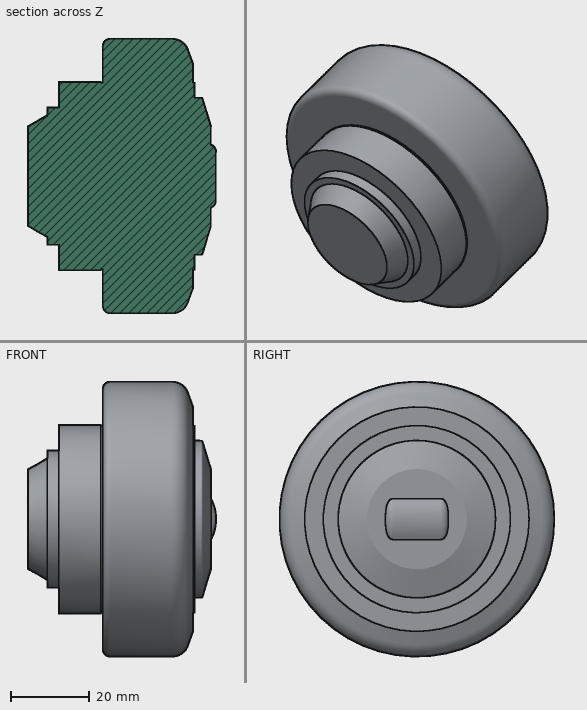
import cadquery as cq
import math

stub_end = 5.0
collar_end = 7.9
hub_end = 18.65
tyre_start = 19.05
tyre_crown_end = 36.7
tyre_end = 42.1
washer_end = 42.5
cap_rim_end = 44.45
cap_end = 46.7
roller_tip = 48.0

stub_tip_radius = 12.7
collar_radius = 17.5
hub_radius = 24.05
washer_radius = 23.8
tyre_radius = 35.05
cap_radius = 20.05
cap_face_radius = 12.75

stub_taper = math.radians(30)
tyre_back_fillet = 1.95
tyre_shoulder_radius = 4.35
cap_rim_fillet = 0.5
shoulder_angle = math.radians(70)

roller_radius = 10.8
roller_length = 16.4
roller_fillet = 2.1


def disc(start, end, radius):
    """Cylinder on the X axis between two axial stations."""
    return cq.Workplane("YZ", origin=(start, 0, 0)).circle(radius).extrude(end - start)


def revolve_about_x(profile):
    return profile.close().revolve(360, (0, 0, 0), (1, 0, 0))


def tapered_stub():
    base_radius = stub_tip_radius + stub_end * math.tan(stub_taper)
    profile = (
        cq.Workplane("XY")
        .lineTo(0, stub_tip_radius)
        .lineTo(stub_end, base_radius)
        .lineTo(stub_end, 0)
    )
    return revolve_about_x(profile)


def tyre():
    """Wheel with a small back fillet and a shoulder arc that runs into a tangent cone."""
    def shoulder_point(angle):
        return (
            tyre_crown_end + tyre_shoulder_radius * math.sin(angle),
            tyre_radius - tyre_shoulder_radius * (1 - math.cos(angle)),
        )

    arc_end = shoulder_point(shoulder_angle)
    cone_end_radius = arc_end[1] - (tyre_end - arc_end[0]) * math.tan(shoulder_angle)
    profile = (
        cq.Workplane("XY")
        .moveTo(tyre_start, 0)
        .lineTo(tyre_start, tyre_radius - tyre_back_fillet)
        .radiusArc((tyre_start + tyre_back_fillet, tyre_radius), tyre_back_fillet)
        .lineTo(tyre_crown_end, tyre_radius)
        .threePointArc(shoulder_point(shoulder_angle / 2), arc_end)
        .lineTo(tyre_end, cone_end_radius)
        .lineTo(tyre_end, 0)
    )
    return revolve_about_x(profile)


def cap():
    profile = (
        cq.Workplane("XY")
        .moveTo(washer_end, 0)
        .lineTo(washer_end, cap_radius)
        .lineTo(cap_rim_end, cap_radius)
        .lineTo(cap_end, cap_face_radius)
        .lineTo(cap_end, 0)
    )
    body = revolve_about_x(profile)
    rim_edge = cq.selectors.NearestToPointSelector((cap_rim_end, 0, 0))
    return body.edges(rim_edge).fillet(cap_rim_fillet)


def side_roller():
    return (
        cq.Workplane("XZ", origin=(roller_tip - roller_radius, 0, 0))
        .circle(roller_radius)
        .extrude(roller_length / 2, both=True)
        .edges("%CIRCLE")
        .fillet(roller_fillet)
    )


result = (
    tapered_stub()
    .union(disc(stub_end, collar_end, collar_radius))
    .union(disc(collar_end, hub_end, hub_radius))
    .union(disc(hub_end, washer_end, washer_radius))
    .union(tyre())
    .union(cap())
    .union(side_roller())
)